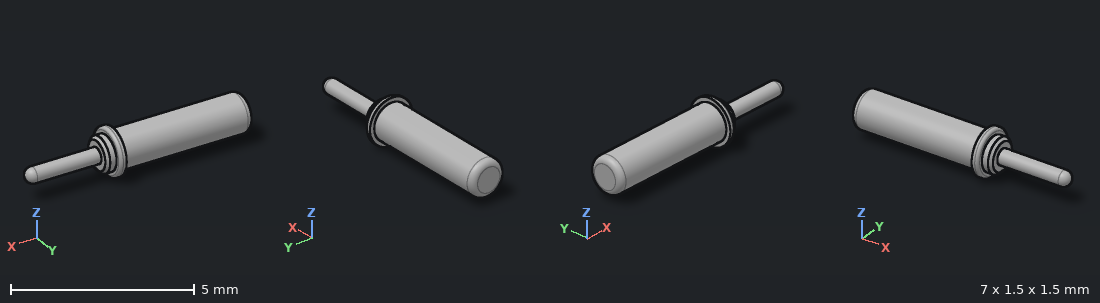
import cadquery as cq

total_length = 7.0
barrel_diameter = 1.2
barrel_length = 4.2
barrel_end_fillet = 0.2

flange_diameter = 1.5
flange_width = 0.2
flange_fillet = 0.1

collar_diameter = 1.1
collar_width = 0.3
collar_chamfer = 0.1

pin_diameter = 0.5

barrel_start = -total_length / 2
flange_start = barrel_start + barrel_length
collar_start = flange_start + flange_width
pin_start = collar_start + collar_width
pin_length = total_length / 2 - pin_start


def cylinder(start, length, diameter):
    """Solid cylinder along X from the given station."""
    return cq.Workplane("YZ", origin=(start, 0, 0)).circle(diameter / 2).extrude(length)


def domed_pin(start, length, diameter):
    """Round pin along X that ends in a hemisphere."""
    radius = diameter / 2
    shank_end = start + length - radius
    tip = cq.Workplane("XY", origin=(shank_end, 0, 0)).sphere(radius)
    return cylinder(start, length - radius, diameter).union(tip)


barrel = cylinder(barrel_start, barrel_length, barrel_diameter)
barrel = barrel.faces("<X").edges().fillet(barrel_end_fillet)

flange = cylinder(flange_start, flange_width, flange_diameter)
flange = flange.faces(">X").edges().fillet(flange_fillet)

collar = cylinder(collar_start, collar_width, collar_diameter)
collar = collar.faces(">X").edges().chamfer(collar_chamfer)

pin = domed_pin(pin_start, pin_length, pin_diameter)

result = barrel.union(flange).union(collar).union(pin)